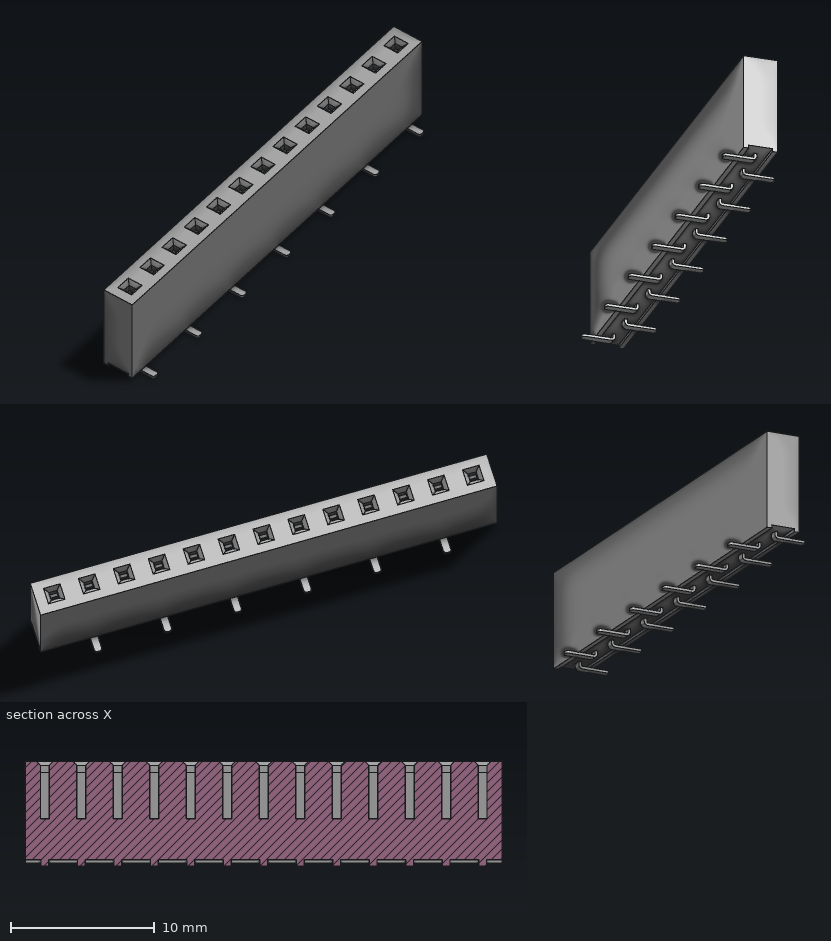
import cadquery as cq
import math

pin_count = 13
pitch = 2.54

body_width = 2.5
body_length = 33.22
overall_height = 7.4
body_bottom = 0.3
channel_width = 1.76
channel_depth = 0.22

mouth_size = 1.2
throat_size = 0.6
funnel_depth = 0.3
socket_depth = 4.0
leaf_gap = 0.12
leaf_setback = 0.5

overall_width = 4.64
lead_width = 0.56
lead_thickness = 0.2
bend_radius = 0.1
tip_radius = 0.2

channel_top = body_bottom + channel_depth
leaf_top = overall_height - funnel_depth - leaf_setback
pin_positions = [(i - (pin_count - 1) / 2) * pitch for i in range(pin_count)]


def make_housing():
    """Block with a shallow channel along the underside that leaves two rails."""
    block = (
        cq.Workplane("XY")
        .workplane(offset=body_bottom)
        .rect(body_width, body_length)
        .extrude(overall_height - body_bottom)
    )
    channel = (
        cq.Workplane("XY")
        .workplane(offset=body_bottom)
        .rect(channel_width, body_length)
        .extrude(channel_depth)
    )
    return block.cut(channel)


def make_socket(y):
    """Square funnel and short throat, then a blind slot between the two contact leaves."""
    funnel = (
        cq.Workplane("XY")
        .workplane(offset=overall_height)
        .center(0, y)
        .rect(mouth_size, mouth_size)
        .workplane(offset=-funnel_depth)
        .rect(throat_size, throat_size)
        .loft(combine=True)
    )
    throat = (
        cq.Workplane("XY")
        .workplane(offset=leaf_top)
        .center(0, y)
        .rect(throat_size, throat_size)
        .extrude(overall_height - funnel_depth - leaf_top)
    )
    slot = (
        cq.Workplane("XY")
        .workplane(offset=overall_height - socket_depth)
        .center(0, y)
        .rect(leaf_gap, throat_size)
        .extrude(socket_depth - funnel_depth)
    )
    return funnel.union(throat).union(slot)


def make_contact(y, side):
    """Flat lead running out to one side (+1 or -1) from a bent post under the housing."""
    half_thickness = lead_thickness / 2
    outer_radius = bend_radius + lead_thickness
    tip = side * overall_width / 2
    post_outer = -side * half_thickness
    post_inner = side * half_thickness
    bend_end = post_outer + side * outer_radius
    diagonal = math.sqrt(0.5)
    outer_mid = (bend_end - side * outer_radius * diagonal, outer_radius * (1 - diagonal))
    inner_mid = (bend_end - side * bend_radius * diagonal, outer_radius - bend_radius * diagonal)
    return (
        cq.Workplane("XZ", origin=(0, y, 0))
        .moveTo(tip, 0)
        .lineTo(bend_end, 0)
        .threePointArc(outer_mid, (post_outer, outer_radius))
        .lineTo(post_outer, channel_top)
        .lineTo(post_inner, channel_top)
        .lineTo(post_inner, outer_radius)
        .threePointArc(inner_mid, (bend_end, lead_thickness))
        .lineTo(tip, lead_thickness)
        .close()
        .extrude(lead_width / 2, both=True)
        .faces(">X" if side > 0 else "<X")
        .edges("|Z")
        .fillet(tip_radius)
    )


result = make_housing()
for index, pin_y in enumerate(pin_positions):
    lead_side = 1 if index % 2 == 0 else -1
    result = result.cut(make_socket(pin_y))
    result = result.union(make_contact(pin_y, lead_side))